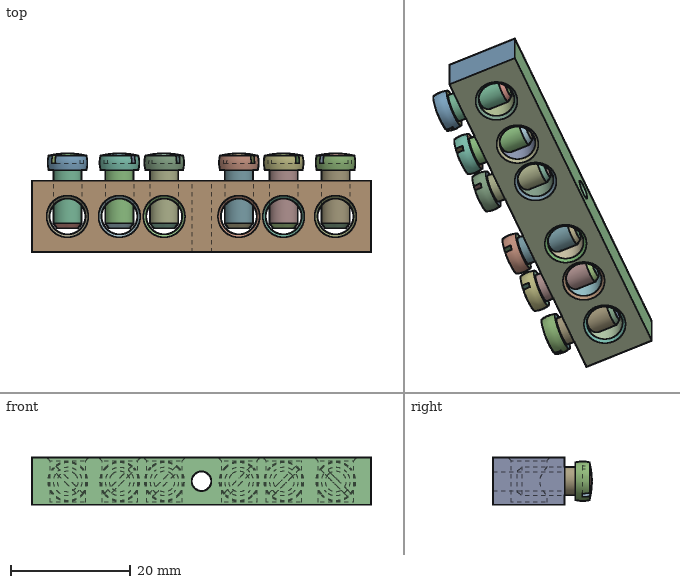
import cadquery as cq

BAR_LENGTH = 57.0
BAR_DEPTH = 12.0
BAR_HEIGHT = 8.0
BAR_BACK = BAR_DEPTH / 2

MOUNTING_HOLE_DIAMETER = 3.25

WIRE_HOLE_DIAMETER = 6.0
WIRE_HOLE_CHAMFER = 0.5

TERMINAL_OFFSETS = [6.25, 13.8, 22.5]
OUTER_OFFSET = TERMINAL_OFFSETS[-1]
TERMINAL_POSITIONS = [side * offset for side in (-1, 1) for offset in TERMINAL_OFFSETS]

SHANK_DIAMETER = 4.8
SHANK_REACH = 8.05
TIP_DIAMETER = 3.5
TIP_LENGTH = 0.85

HEAD_DIAMETER = 6.7
HEAD_RIM_DIAMETER = 6.4
HEAD_GAP = 1.75
HEAD_RIM_HEIGHT = 4.2
HEAD_TOP_HEIGHT = 4.6

SLOT_WIDTH = 0.8
SLOT_FLOOR_HEIGHT = 2.95
SLOT_ANGLE = 45.0


def make_bar():
    """Rectangular bar with a mounting hole, wire holes and screw holes."""
    bar = cq.Workplane("XY").box(BAR_LENGTH, BAR_DEPTH, BAR_HEIGHT)
    bar = bar.faces("<Y").workplane(origin=(0, 0, 0)).hole(MOUNTING_HOLE_DIAMETER)

    wire_hole = cq.Workplane("XY").circle(WIRE_HOLE_DIAMETER / 2).extrude(BAR_HEIGHT / 2, both=True)
    countersink = (
        cq.Workplane("XY")
        .workplane(offset=BAR_HEIGHT / 2)
        .circle(WIRE_HOLE_DIAMETER / 2 + WIRE_HOLE_CHAMFER)
        .extrude(-WIRE_HOLE_CHAMFER, taper=45)
    )
    wire_cutter = wire_hole.union(countersink).union(countersink.mirror("XY"))
    for x in TERMINAL_POSITIONS:
        bar = bar.cut(wire_cutter.translate((x, 0, 0)))

    screw_hole = cq.Workplane("XZ").circle(SHANK_DIAMETER / 2).extrude(-BAR_BACK)
    for x in TERMINAL_POSITIONS:
        bar = bar.cut(screw_hole.translate((x, 0, 0)))
    return bar


def make_screw(x, slot_angle):
    """Slotted screw with a barrel-sided, domed head and a tapered tip."""
    shank_radius = SHANK_DIAMETER / 2
    rim_radius = HEAD_RIM_DIAMETER / 2
    barrel_middle = (HEAD_GAP + HEAD_RIM_HEIGHT) / 2
    dome_rise = HEAD_TOP_HEIGHT - HEAD_RIM_HEIGHT
    dome_radius = (rim_radius**2 + dome_rise**2) / (2 * dome_rise)

    screw = (
        cq.Workplane("XY")
        .moveTo(0, -SHANK_REACH)
        .lineTo(TIP_DIAMETER / 2, -SHANK_REACH)
        .lineTo(shank_radius, TIP_LENGTH - SHANK_REACH)
        .lineTo(shank_radius, HEAD_GAP)
        .lineTo(rim_radius, HEAD_GAP)
        .threePointArc((HEAD_DIAMETER / 2, barrel_middle), (rim_radius, HEAD_RIM_HEIGHT))
        .radiusArc((0, HEAD_TOP_HEIGHT), -dome_radius)
        .close()
        .revolve(360, (0, 0), (0, 1))
    )

    slot_depth = HEAD_TOP_HEIGHT - SLOT_FLOOR_HEIGHT
    slot = (
        cq.Workplane("XY")
        .box(HEAD_DIAMETER, slot_depth, SLOT_WIDTH)
        .translate((0, SLOT_FLOOR_HEIGHT + slot_depth / 2, 0))
        .rotate((0, 0, 0), (0, 1, 0), slot_angle)
    )
    return screw.cut(slot).translate((x, BAR_BACK, 0))


bar = make_bar()

screws = []
for x in TERMINAL_POSITIONS:
    angle = SLOT_ANGLE if abs(x) == OUTER_OFFSET else -SLOT_ANGLE
    screws.append(make_screw(x, angle))

result = cq.Compound.makeCompound([bar.val(), *[screw.val() for screw in screws]])